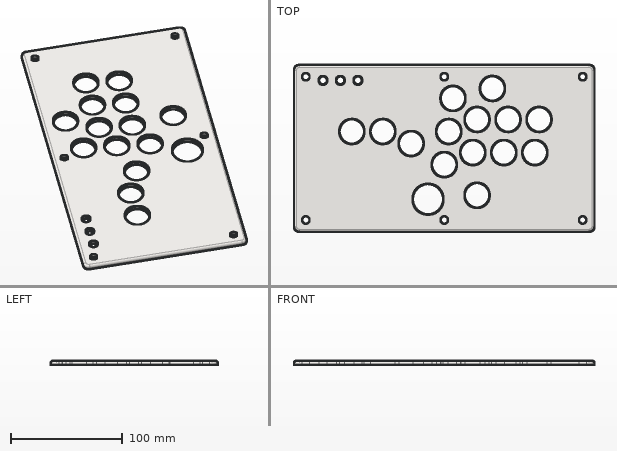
import cadquery as cq

LENGTH = 270
WIDTH = 150.0
THICKNESS = 4.0
CORNER_RADIUS = 5.0
EDGE_FILLET = 2.5

RIM_CHAMFER = 0.5
RIM_BEVEL_ANGLE = 90

SCREW_DIAMETER = 6.5
SCREW_SPACING_X = 124.2
SCREW_SPACING_Y = 128.5

OPTION_DIAMETER = 7.0
OPTION_SPACING = 15.7
OPTION_MIDDLE_X = -93.2
OPTION_Y = 61.0

BUTTON_DIAMETER = 22.0
BUTTON_PITCH = 27.8
UPPER_ROW_START = (29.5, 26.0)
LOWER_ROW_START = (25.6, -3.8)
ROW_LENGTH = 3
DIRECTION_ROW_Y = 15.0
LEFT_BUTTON_X = -83.0
SINGLE_BUTTONS = [
    (-29.7, 4.3),
    (4.0, DIRECTION_ROW_Y),
    (0, -14.5),
    (7.8, 44.8),
    (43.2, 53.7),
    (29.5, -42.0),
]

THUMB_DIAMETER = 27
THUMB_CENTER = (-14.5, -45.5)


def row(start, count, pitch):
    """Centres of evenly spaced holes running along +X."""
    return [(start[0] + i * pitch, start[1]) for i in range(count)]


def make_plate():
    """Flat plate with rounded corners and a rounded top edge."""
    plate = cq.Workplane("XY").box(LENGTH, WIDTH, THICKNESS)
    plate = plate.edges("|Z").fillet(CORNER_RADIUS)
    return plate.faces(">Z").edges().fillet(EDGE_FILLET)


def cut_holes(plate, centers, diameter, rim_chamfer=0):
    """Through holes, optionally with a 45 degree bevel at the top rim."""
    top = plate.faces(">Z").workplane(origin=(0, 0, 0)).pushPoints(centers)
    if rim_chamfer:
        return top.cskHole(diameter, diameter + 2 * rim_chamfer, RIM_BEVEL_ANGLE)
    return top.hole(diameter)


screw_centers = [
    (column * SCREW_SPACING_X, side * SCREW_SPACING_Y / 2)
    for column in (-1, 0, 1)
    for side in (-1, 1)
]
option_start = (OPTION_MIDDLE_X - OPTION_SPACING, OPTION_Y)
option_centers = row(option_start, 3, OPTION_SPACING)
button_centers = (
    row((LEFT_BUTTON_X, DIRECTION_ROW_Y), 2, BUTTON_PITCH)
    + row(UPPER_ROW_START, ROW_LENGTH, BUTTON_PITCH)
    + row(LOWER_ROW_START, ROW_LENGTH, BUTTON_PITCH)
    + SINGLE_BUTTONS
)

result = make_plate()
result = cut_holes(result, screw_centers, SCREW_DIAMETER)
result = cut_holes(result, option_centers, OPTION_DIAMETER, RIM_CHAMFER)
result = cut_holes(result, button_centers, BUTTON_DIAMETER, RIM_CHAMFER)
result = cut_holes(result, [THUMB_CENTER], THUMB_DIAMETER, RIM_CHAMFER)